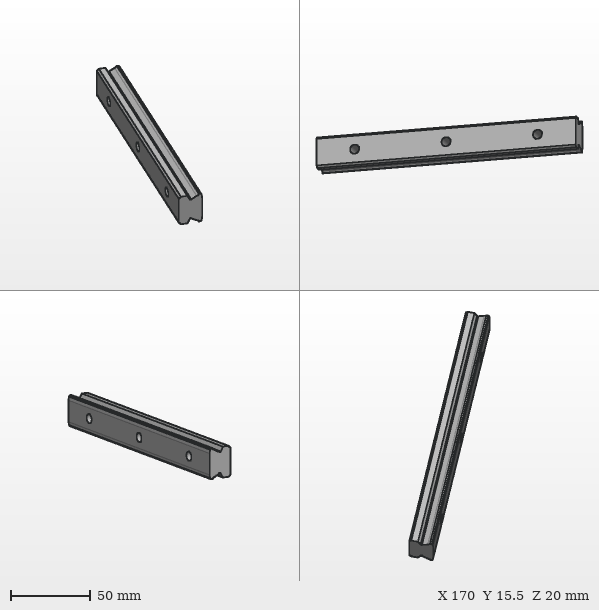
import cadquery as cq
import math

length = 170.0
width = 15.5
height = 20.0

front_chamfer = 1.4
rear_bevel_width = 1.0
rear_bevel_height = 0.8
rear_taper_width = 0.3
rear_taper_height = 3.0

groove_front = 5.6
groove_floor_front = 7.3
groove_floor_rear = 8.2
groove_depth = 3.2
front_flank_depth = 2.9
rear_flank_depth = 3.0
race_front = 11.7
race_rear = 13.3
race_depth = 1.2
race_sag = 0.27

hole_diameter = 6.0
hole_pitch = 60.0
hole_count = 3

front_y = -width / 2
rear_y = width / 2
top_z = height / 2


def point(from_front, depth):
    """Section point on the upper half, given from the -Y face and the top."""
    return front_y + from_front, top_z - depth


def race_midpoint():
    """Middle of the concave race arc, sunk below its chord by the sag."""
    run = race_rear - race_front
    chord = math.hypot(run, race_depth)
    middle = (race_front + race_rear) / 2
    return point(middle + race_sag * race_depth / chord, race_depth / 2 + race_sag * run / chord)


def make_upper_half():
    """Upper half of the rail, extruded from its Y-Z section."""
    section = (
        cq.Workplane("YZ", origin=(-length / 2, 0, 0))
        .moveTo(front_y, 0)
        .lineTo(*point(0, front_chamfer))
        .lineTo(*point(front_chamfer, 0))
        .lineTo(*point(groove_front, 0))
        .lineTo(*point(groove_floor_front, front_flank_depth))
        .lineTo(*point(groove_floor_front, groove_depth))
        .lineTo(*point(groove_floor_rear, groove_depth))
        .lineTo(*point(groove_floor_rear, rear_flank_depth))
        .lineTo(*point(race_front, race_depth))
        .threePointArc(race_midpoint(), point(race_rear, 0))
        .lineTo(*point(width - rear_bevel_width, 0))
        .lineTo(*point(width - rear_taper_width, rear_bevel_height))
        .lineTo(*point(width, rear_taper_height))
        .lineTo(rear_y, 0)
        .close()
    )
    return section.extrude(length)


def make_holes():
    """Row of mounting holes through the full width."""
    return (
        cq.Workplane("XZ", origin=(0, rear_y, 0))
        .rarray(hole_pitch, 1.7, hole_count, 1)
        .circle(hole_diameter / 2)
        .extrude(width)
    )


upper_half = make_upper_half()
rail = upper_half.union(upper_half.mirror("XY")).clean()
result = rail.cut(make_holes())